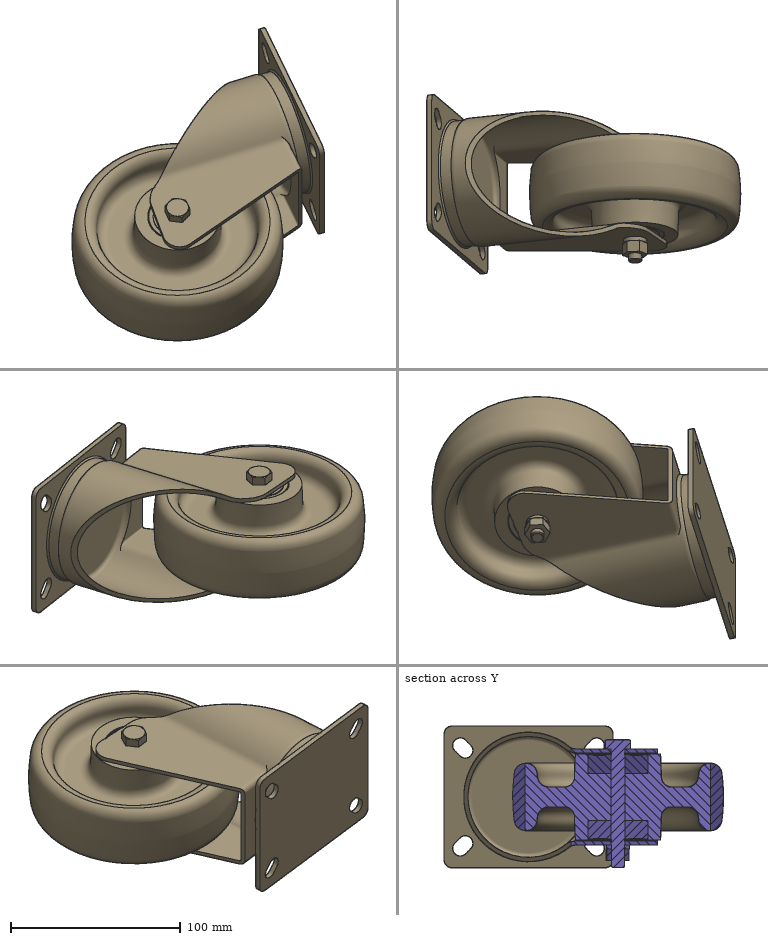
import cadquery as cq
import math


overall_length = 165.4
overall_height = 156.9

plate_length = 100.0
plate_width = 84.0
plate_thickness = 3.1
plate_corner_radius = 5.0
slot_offset_x = 38.9
slot_offset_z = 29.0
slot_width = 9.0
slot_length = 13.0
slot_tilt_degrees = 45.0
neck_radius = 37.4
neck_flare = 1.0

sheet = 2.5
fork_radius = 38.2
fork_outer_bend = 3.5
cup_top = -9.6
cup_inner_bend = 2.5
leg_outer_z = 28.5
leg_bend_radius = 8.3
bridge_top = -13.4
bridge_inner_bend = 1.0
fork_reach = 99.2
fork_depth = 124.0
rear_edge_angle = 49.7
leg_end_left = (34.9, -106.2)
leg_end_right = (81.8, -109.8)
leg_front_top_x = 42.8
leg_heel_radius = 15.9
leg_toe_radius = 10.0

wheel_radius = 62.5
wheel_half_width = 20.0
tyre_shoulder_z = 14.4
tyre_crown = 1.0
core_radius = 54.7
rim_lip = 0.3
rim_fillet = 6.6
rim_wall_draft = 6.1
web_outer_radius = 41.0
web_half_thickness = 6.0
hub_half_width = 25.5
hub_end_radius = 25.3
hub_base_radius = 25.8
hub_fillet = 6.0

bearing_radius = 17.5
bearing_width = 11.0
bearing_setback = 0.3
bearing_race_inner_radius = 14.4
bearing_hub_radius = 7.5
bearing_chamfer = 0.5
shield_depth = 0.5

bolt_radius = 4.0
hex_across_flats = 13.0
head_height = 5.5
head_chamfer_degrees = 30.0
bolt_tip_z = -41.8
bolt_tip_chamfer = 0.7
washer_radius = 7.0
washer_thickness = 2.5
nut_height = 6.8
nut_turn_degrees = 40.0

axle_x = overall_length - plate_length / 2 - wheel_radius
axle_y = wheel_radius - overall_height
hex_corner_radius = hex_across_flats / math.sqrt(3)
washer_top_z = -leg_outer_z
nut_top_z = washer_top_z - washer_thickness


def below(y):
    """Workplane at height y whose extrusions run toward -Y, with local axes X and Z."""
    return cq.Workplane("XZ", origin=(0, y, 0))


def axle_plane(z):
    """Workplane square to the axle at height z."""
    return cq.Workplane("XY", origin=(axle_x, axle_y, z))


def arc_point(center, radius, angle):
    """Point on a circle at the given angle in degrees."""
    turn = math.radians(angle)
    return (center[0] + radius * math.cos(turn), center[1] + radius * math.sin(turn))


def cup(radius, top, bend):
    """Round-topped cylinder about the swivel axis, reaching down to the leg bridge."""
    height = top - (bridge_top - 2 * sheet)
    return below(top).circle(radius).extrude(height).faces(">Y").edges().fillet(bend)


def keyhole(radius, leg_z, bend, top, top_bend):
    """Cylinder blending through concave bends into two parallel legs, with a rounded top edge."""
    bend_x = math.sqrt((radius + bend) ** 2 - (leg_z + bend) ** 2)
    bend_z = leg_z + bend
    share = radius / (radius + bend)
    touch_x = bend_x * share
    touch_z = bend_z * share
    half_turn = math.atan2(bend_x, bend_z) / 2
    middle_x = bend_x - bend * math.sin(half_turn)
    middle_z = bend_z - bend * math.cos(half_turn)
    outline = (
        below(top)
        .moveTo(fork_reach, leg_z)
        .lineTo(bend_x, leg_z)
        .threePointArc((middle_x, middle_z), (touch_x, touch_z))
        .threePointArc((-radius, 0), (touch_x, -touch_z))
        .threePointArc((middle_x, -middle_z), (bend_x, -leg_z))
        .lineTo(fork_reach, -leg_z)
        .close()
    )
    body = outline.extrude(fork_depth)
    return body.faces(">Y").edges("not(>X)").fillet(top_bend)


def fork_side_profile():
    """Prism along Z with the slanted side outline of the fork."""
    rear_x = -fork_radius - sheet
    rear_rise = (leg_end_left[0] - rear_x) * math.tan(math.radians(rear_edge_angle))
    prism = (
        cq.Workplane("XY", origin=(0, 0, -fork_radius - sheet))
        .moveTo(leg_front_top_x, 0)
        .lineTo(rear_x, 0)
        .lineTo(rear_x, leg_end_left[1] + rear_rise)
        .lineTo(*leg_end_left)
        .lineTo(*leg_end_right)
        .close()
        .extrude(2 * (fork_radius + sheet))
    )
    heel = cq.selectors.NearestToPointSelector((*leg_end_left, 0))
    toe = cq.selectors.NearestToPointSelector((*leg_end_right, 0))
    return prism.edges(heel).fillet(leg_heel_radius).edges(toe).fillet(leg_toe_radius)


def make_fork():
    outside = keyhole(fork_radius, leg_outer_z, leg_bend_radius, bridge_top, fork_outer_bend)
    outside = outside.union(cup(fork_radius, cup_top, fork_outer_bend))
    inside = keyhole(
        fork_radius - sheet,
        leg_outer_z - sheet,
        leg_bend_radius + sheet,
        bridge_top - sheet,
        bridge_inner_bend,
    )
    inside = inside.union(cup(fork_radius - sheet, cup_top - sheet, cup_inner_bend))
    axle_hole = axle_plane(-leg_outer_z).circle(bolt_radius).extrude(2 * leg_outer_z)
    return outside.cut(inside).intersect(fork_side_profile()).cut(axle_hole)


def make_plate():
    plate = below(0).rect(plate_length, plate_width).extrude(plate_thickness)
    plate = plate.edges("|Y").fillet(plate_corner_radius)
    for side_x in (-1, 1):
        for side_z in (-1, 1):
            slot = (
                below(0)
                .center(side_x * slot_offset_x, side_z * slot_offset_z)
                .slot2D(slot_length, slot_width, slot_tilt_degrees * side_x * side_z)
                .extrude(plate_thickness)
            )
            plate = plate.cut(slot)
    flare = (
        below(-plate_thickness)
        .circle(neck_radius + neck_flare)
        .workplane(offset=neck_flare)
        .circle(neck_radius)
        .loft()
    )
    neck_end = cup_top - fork_outer_bend
    neck = below(-plate_thickness).circle(neck_radius).extrude(-plate_thickness - neck_end)
    seat = cup(fork_radius, cup_top, fork_outer_bend)
    return plate.union(flare).union(neck.cut(seat))


def revolve_about_axle(profile):
    """Turn a profile drawn in radius (local x) and axle position (local y) about the axle."""
    return profile.revolve(360, (0, 0, 0), (0, 1, 0))


def axle_profile():
    """Workplane through the axle: local x is the radius, local y runs along Z."""
    return cq.Workplane(cq.Plane((axle_x, axle_y, 0), (1, 0, 0), (0, -1, 0)))


def make_tyre():
    shoulder_end = (wheel_radius - tyre_crown, tyre_shoulder_z)
    reach = shoulder_end[0] - core_radius
    drop = wheel_half_width - tyre_shoulder_z
    shoulder_radius = (reach**2 + drop**2) / (2 * drop)
    shoulder_center = (core_radius, wheel_half_width - shoulder_radius)
    shoulder_end_angle = math.degrees(math.acos(reach / shoulder_radius))
    shoulder_middle = arc_point(shoulder_center, shoulder_radius, (90 + shoulder_end_angle) / 2)
    crown_radius = (tyre_crown**2 + tyre_shoulder_z**2) / (2 * tyre_crown)
    crown_half_angle = math.degrees(math.asin(tyre_shoulder_z / crown_radius))
    crown_middle = arc_point((wheel_radius - crown_radius, 0), crown_radius, crown_half_angle / 2)
    profile = (
        axle_profile()
        .moveTo(core_radius, wheel_half_width)
        .threePointArc(shoulder_middle, shoulder_end)
        .threePointArc(crown_middle, (wheel_radius, 0))
        .threePointArc((crown_middle[0], -crown_middle[1]), (shoulder_end[0], -shoulder_end[1]))
        .threePointArc((shoulder_middle[0], -shoulder_middle[1]), (core_radius, -wheel_half_width))
        .close()
    )
    return revolve_about_axle(profile)


def make_wheel_core():
    web_z = web_half_thickness
    rim_start = core_radius - rim_lip
    hub_center = (hub_base_radius + hub_fillet, web_z + hub_fillet)
    dish_center = (web_outer_radius, web_z + rim_fillet)
    rim_center = (rim_start, wheel_half_width - rim_fillet)
    dish_end = arc_point(dish_center, rim_fillet, -rim_wall_draft)
    rim_wall_end = arc_point(rim_center, rim_fillet, 180 - rim_wall_draft)
    half_profile = (
        axle_profile()
        .moveTo(bolt_radius, 0)
        .lineTo(bolt_radius, hub_half_width)
        .lineTo(hub_end_radius, hub_half_width)
        .lineTo(hub_base_radius, hub_center[1])
        .threePointArc(arc_point(hub_center, hub_fillet, 225), (hub_center[0], web_z))
        .lineTo(web_outer_radius, web_z)
        .threePointArc(arc_point(dish_center, rim_fillet, -45), dish_end)
        .lineTo(*rim_wall_end)
        .threePointArc(arc_point(rim_center, rim_fillet, 135), (rim_start, wheel_half_width))
        .lineTo(core_radius, wheel_half_width)
        .lineTo(core_radius, 0)
        .close()
    )
    half = revolve_about_axle(half_profile)
    core = half.union(half.mirror("XY"))
    pocket_depth = bearing_setback + bearing_width
    for side in (-1, 1):
        hub_end = axle_plane(side * hub_half_width)
        core = core.cut(hub_end.circle(bearing_radius).extrude(-side * pocket_depth))
    return core


def make_bearing(side):
    """Bearing at the hub end on the given side, with a sunk shield ring in its outer face."""
    outer_z = side * (hub_half_width - bearing_setback)
    blank = axle_plane(outer_z).circle(bearing_radius).extrude(-side * bearing_width)
    bore = axle_plane(outer_z).circle(bolt_radius).extrude(-side * bearing_width)
    bearing = blank.edges().chamfer(bearing_chamfer).cut(bore)
    shield = (
        axle_plane(outer_z)
        .circle(bearing_race_inner_radius)
        .circle(bearing_hub_radius)
        .extrude(-side * shield_depth)
    )
    return bearing.cut(shield)


def hexagon(bottom_z, height, turn):
    """Hexagonal prism on the axle, turned about it by the given angle in degrees."""
    prism = cq.Workplane("XY").polygon(6, 2 * hex_corner_radius).extrude(height)
    return prism.rotate((0, 0, 0), (0, 0, 1), turn).translate((axle_x, axle_y, bottom_z))


def rounding_cone(bottom_z, height):
    """Cylinder around a hexagon whose chamfered top trims the hexagon's corners."""
    corner_trim = hex_corner_radius - hex_across_flats / 2
    blank = axle_plane(bottom_z).circle(hex_corner_radius).extrude(height)
    return blank.faces(">Z").chamfer(corner_trim * math.tan(math.radians(head_chamfer_degrees)), corner_trim)


def make_bolt():
    head = hexagon(leg_outer_z, head_height, 0).intersect(rounding_cone(leg_outer_z, head_height))
    shank = axle_plane(bolt_tip_z).circle(bolt_radius).extrude(leg_outer_z - bolt_tip_z)
    return head.union(shank.faces("<Z").chamfer(bolt_tip_chamfer))


def make_washer():
    return axle_plane(washer_top_z).circle(washer_radius).circle(bolt_radius).extrude(-washer_thickness)


def make_nut():
    bottom_z = nut_top_z - nut_height
    bore = axle_plane(bottom_z).circle(bolt_radius).extrude(nut_height)
    return hexagon(bottom_z, nut_height, nut_turn_degrees).cut(bore)


plate = make_plate()
fork = make_fork()
tyre = make_tyre()
wheel_core = make_wheel_core()
bearings = [make_bearing(side) for side in (-1, 1)]
bolt = make_bolt()
washer = make_washer()
nut = make_nut()

bodies = [plate, fork, tyre, wheel_core, *bearings, bolt, washer, nut]

result = cq.Compound.makeCompound([body.solids().val() for body in bodies])